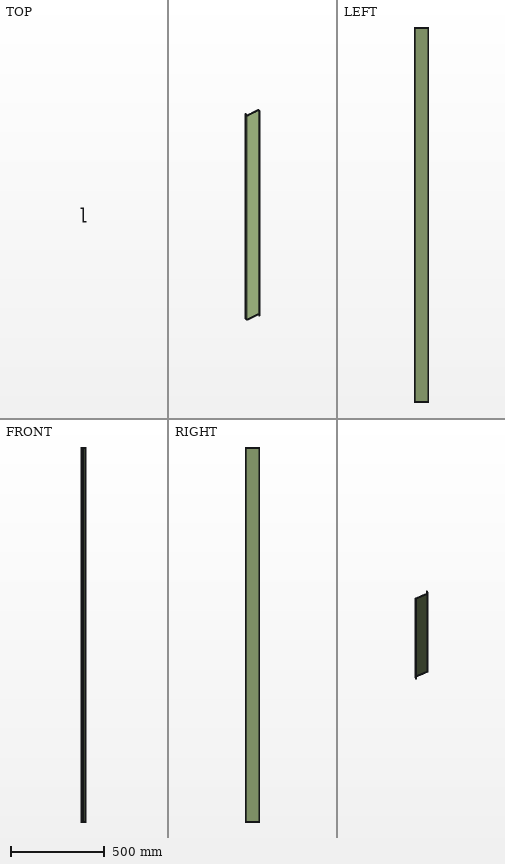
import cadquery as cq

LENGTH = 2000.0
WIDTH = 23.6
DEPTH = 73.3
SHEET = 1.0
INNER_BEND_RADIUS = 1.0
BACK_FLANGE_REACH = 10.0

OUTER_BEND_RADIUS = INNER_BEND_RADIUS + SHEET

web_left = BACK_FLANGE_REACH
web_right = web_left + SHEET
front_flange_inside = SHEET
back_flange_inside = DEPTH - SHEET


def sharp_section():
    """Outline of the Z section before its bends are rounded."""
    return (
        cq.Workplane("XY")
        .moveTo(0, DEPTH)
        .lineTo(0, back_flange_inside)
        .lineTo(web_left, back_flange_inside)
        .lineTo(web_left, 0)
        .lineTo(WIDTH, 0)
        .lineTo(WIDTH, front_flange_inside)
        .lineTo(web_right, front_flange_inside)
        .lineTo(web_right, DEPTH)
        .close()
    )


def round_bend(body, inner_corner, outer_corner):
    """Round both long edges of one bend about a common centre."""
    middle = LENGTH / 2
    inner_edge = cq.selectors.NearestToPointSelector((*inner_corner, middle))
    outer_edge = cq.selectors.NearestToPointSelector((*outer_corner, middle))
    body = body.edges(inner_edge).fillet(INNER_BEND_RADIUS)
    return body.edges(outer_edge).fillet(OUTER_BEND_RADIUS)


profile = sharp_section().extrude(LENGTH)
profile = round_bend(profile, (web_left, back_flange_inside), (web_right, DEPTH))
profile = round_bend(profile, (web_right, front_flange_inside), (web_left, 0))

result = profile